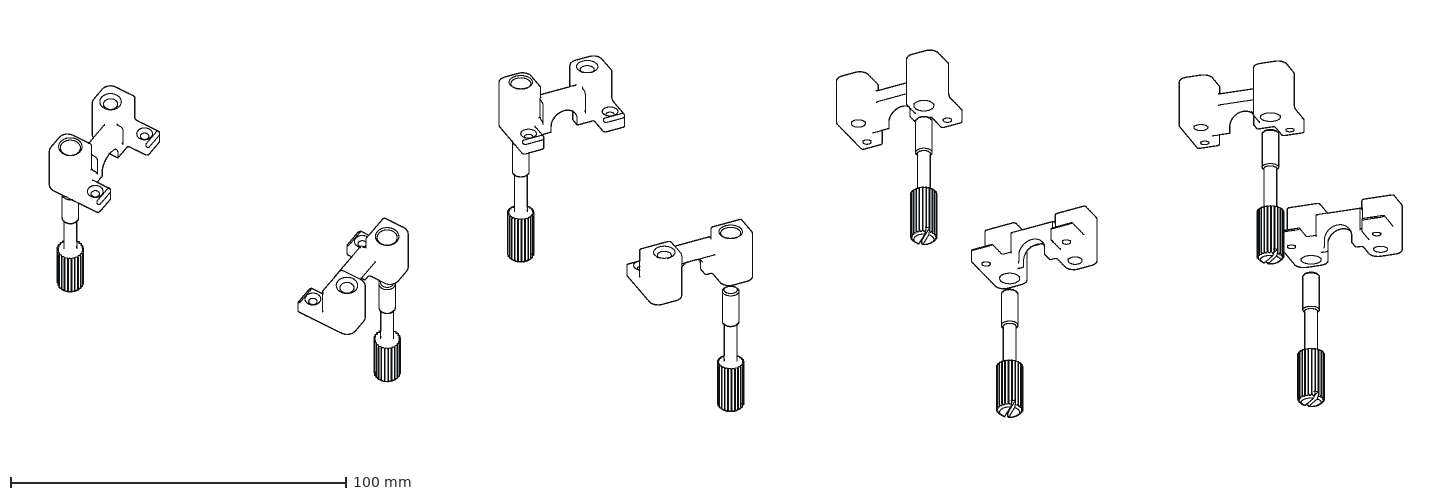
import cadquery as cq
overall_length = 108.5
screw_gap = 5.0
holder_turns = (0, 180)

holder_width = 34.0
holder_length = 19.0
tower_length = 10.1
tower_width = 10.5
tower_height = 16.0
low_tower_drop = 0.9
tower_outer_radius = 3.0
tower_inner_radius = 1.0
top_edge_radius = 0.6
bottom_edge_radius = 0.4
tower_inner_y = holder_width / 2 - tower_width

foot_width = 7.2
foot_height = 4.6
foot_end_chamfer = 1.0
foot_edge_radius = 0.7
step_corner_radius = 0.4
foot_corner_radius = 0.9
foot_root_radius = 0.6
step_length = 12.0

bridge_outer_x = 6.0
bridge_top = 11.5
bridge_chamfer = 1.5
bridge_inner_radius = 1.0
bridge_overlap = 0.5
beam_bottom = 8.3
web_outer_x = 8.5
beam_edge_radius = 0.3
bridge_blend_radius = 0.5
arch_radius = 4.3
arch_top = 6.7
arch_edge_radius = 0.5

tower_hole_inset_x = 5.0
tower_hole_inset_y = 6.0
screw_bore_diameter = 6.0
screw_bore_mouth = 7.0
plain_hole_diameter = 4.2
plain_hole_mouth = 6.4
foot_hole_inset = 3.5
foot_hole_diameter = 2.5
foot_hole_mouth = 4.7

thread_diameter = 5.0
thread_length = 12.0
thread_chamfer = 0.5
shank_diameter = 3.9
shank_length = 14.0
shank_root_radius = 0.3
head_diameter = 8.0
head_length = 16.0
head_top_chamfer = 0.2
head_end_chamfer = 1.0
knurl_count = 24
knurl_groove_radius = 0.4
slot_width = 1.2
slot_depth = 2.0
slot_angle = 45.0

reach = 0.05


def box(x_min, x_max, y_min, y_max, z_min, z_max):
    """Axis-aligned block given by its limits."""
    return (
        cq.Workplane("XY")
        .box(x_max - x_min, y_max - y_min, z_max - z_min, centered=False)
        .translate((x_min, y_min, z_min))
    )


def edges_near(body, direction, lower, upper):
    """Edges along one axis whose middle lies inside a box."""
    return body.edges(direction).edges(cq.selectors.BoxSelector(lower, upper))


def upright_edge(body, x, y):
    """Vertical edges standing at a point in plan."""
    lower = (x - reach, y - reach, 0)
    upper = (x + reach, y + reach, tower_height)
    return edges_near(body, "|Z", lower, upper)


def make_corner_cutter(height):
    """Cutter that rounds the upright tower corner above the foot, next to the bridge."""
    round_x = tower_length - tower_inner_radius
    round_y = tower_inner_y + tower_inner_radius
    bottom = foot_height + foot_root_radius
    corner = box(round_x, tower_length, tower_inner_y, round_y, bottom, height)
    rounding = cq.Workplane("XY").center(round_x, round_y).circle(tower_inner_radius).extrude(height)
    return corner.cut(rounding)


def make_end(height):
    """Tower with its foot, at the +Y end of the holder."""
    outer_y = holder_width / 2
    foot_inner_y = outer_y - foot_width
    profile = (
        cq.Workplane("XZ", origin=(0, outer_y, 0))
        .moveTo(0, 0)
        .lineTo(holder_length, 0)
        .lineTo(holder_length, foot_height)
        .lineTo(tower_length + foot_root_radius, foot_height)
        .radiusArc((tower_length, foot_height + foot_root_radius), foot_root_radius)
        .lineTo(tower_length, height)
        .lineTo(0, height)
        .close()
    )
    end = profile.extrude(tower_width)
    recess = box(step_length, holder_length, tower_inner_y, foot_inner_y, 0, height)
    end = end.cut(recess)

    for y in (tower_inner_y, outer_y):
        end = upright_edge(end, 0, y).fillet(tower_outer_radius)
    for y in (foot_inner_y, outer_y):
        end = upright_edge(end, holder_length, y).fillet(foot_corner_radius)
    end = upright_edge(end, step_length, foot_inner_y).fillet(step_corner_radius)
    end = end.cut(make_corner_cutter(height))

    tower_edge = upright_edge(end, tower_length, outer_y)
    end = tower_edge.fillet(foot_edge_radius)
    end = end.faces(">Z").edges().fillet(top_edge_radius)
    end_chamfer = (
        cq.Workplane("XZ", origin=(0, outer_y, 0))
        .moveTo(holder_length, foot_height)
        .lineTo(holder_length - foot_end_chamfer, foot_height)
        .lineTo(holder_length, foot_height - foot_end_chamfer)
        .close()
        .extrude(foot_width)
    )
    return end.cut(end_chamfer)


def make_bridge():
    """Solid beam between the towers, standing on a thinner web."""
    half_length = tower_inner_y + bridge_overlap
    outline = (
        cq.Workplane("XZ", origin=(0, half_length, 0))
        .moveTo(web_outer_x, 0)
        .lineTo(step_length, 0)
        .lineTo(step_length, bridge_top - bridge_inner_radius)
        .radiusArc((step_length - bridge_inner_radius, bridge_top), -bridge_inner_radius)
        .lineTo(bridge_outer_x + bridge_chamfer, bridge_top)
        .lineTo(bridge_outer_x, bridge_top - bridge_chamfer)
        .lineTo(bridge_outer_x, beam_bottom)
        .lineTo(web_outer_x, beam_bottom)
        .close()
    )
    bridge = outline.extrude(2 * half_length)
    outer_corners = [
        (bridge_outer_x + bridge_chamfer, bridge_top),
        (bridge_outer_x, bridge_top - bridge_chamfer),
        (bridge_outer_x, beam_bottom),
    ]
    for x, z in outer_corners:
        lower = (x - reach, -reach, z - reach)
        upper = (x + reach, reach, z + reach)
        bridge = edges_near(bridge, "|Y", lower, upper).fillet(beam_edge_radius)
    return bridge


def cut_arch(holder):
    """Arched opening through the web, with rounded feet and a rounded outer rim."""
    spring_z = arch_top - arch_radius
    opening = (
        cq.Workplane("YZ", origin=(web_outer_x, 0, 0))
        .moveTo(-arch_radius, 0)
        .lineTo(-arch_radius, spring_z)
        .threePointArc((0, arch_top), (arch_radius, spring_z))
        .lineTo(arch_radius, 0)
        .close()
        .extrude(step_length - web_outer_x)
    )
    holder = holder.cut(opening)
    lower = (web_outer_x - reach, -arch_radius - reach, reach)
    upper = (web_outer_x + reach, arch_radius + reach, arch_top + reach)
    holder = holder.edges(cq.selectors.BoxSelector(lower, upper)).fillet(arch_edge_radius)
    lower = (web_outer_x, -arch_radius - reach, -reach)
    upper = (step_length, arch_radius + reach, reach)
    return edges_near(holder, "|X", lower, upper).fillet(bottom_edge_radius)


def hole_cutter(x, y, top, diameter, mouth):
    """Through hole with a 90 degree countersink in its upper face."""
    radius = diameter / 2
    mouth_radius = mouth / 2
    return (
        cq.Workplane("XZ", origin=(x, y, 0))
        .moveTo(0, 0)
        .lineTo(radius, 0)
        .lineTo(radius, top - (mouth_radius - radius))
        .lineTo(mouth_radius, top)
        .lineTo(0, top)
        .close()
        .revolve(360, (0, 0, 0), (0, 1, 0))
    )


def make_holder():
    """Holder with the screw tower at -Y and the lower plain-hole tower at +Y."""
    low_height = tower_height - low_tower_drop
    screw_end = make_end(tower_height).mirror("XZ")
    holder = screw_end.union(make_end(low_height)).union(make_bridge())
    for side in (-1, 1):
        y = side * tower_inner_y
        lower = (bridge_outer_x - reach, y - reach, reach)
        upper = (tower_length - tower_inner_radius, y + reach, bridge_top + reach)
        blend_edges = holder.edges(cq.selectors.BoxSelector(lower, upper))
        holder = blend_edges.fillet(bridge_blend_radius)
    holder = cut_arch(holder)

    tower_hole_y = holder_width / 2 - tower_hole_inset_y
    foot_hole_x = holder_length - foot_hole_inset
    foot_hole_y = holder_width / 2 - foot_hole_inset
    screw_bore = hole_cutter(
        tower_hole_inset_x, -tower_hole_y, tower_height, screw_bore_diameter, screw_bore_mouth
    )
    plain_hole = hole_cutter(
        tower_hole_inset_x, tower_hole_y, low_height, plain_hole_diameter, plain_hole_mouth
    )
    holder = holder.cut(screw_bore).cut(plain_hole)
    for y in (-foot_hole_y, foot_hole_y):
        holder = holder.cut(hole_cutter(foot_hole_x, y, foot_height, foot_hole_diameter, foot_hole_mouth))
    return holder


def make_screw():
    """Knurled captive screw standing on its head, its slotted end at z = 0."""
    shank_start = head_length
    thread_start = shank_start + shank_length
    tip = thread_start + thread_length
    head_radius = head_diameter / 2
    shank_radius = shank_diameter / 2
    thread_radius = thread_diameter / 2
    screw = (
        cq.Workplane("XZ")
        .moveTo(0, 0)
        .lineTo(head_radius - head_end_chamfer, 0)
        .lineTo(head_radius, head_end_chamfer)
        .lineTo(head_radius, head_length - head_top_chamfer)
        .lineTo(head_radius - head_top_chamfer, head_length)
        .lineTo(shank_radius + shank_root_radius, head_length)
        .radiusArc((shank_radius, head_length + shank_root_radius), shank_root_radius)
        .lineTo(shank_radius, thread_start)
        .lineTo(thread_radius - thread_chamfer, thread_start)
        .lineTo(thread_radius, thread_start + thread_chamfer)
        .lineTo(thread_radius, tip - thread_chamfer)
        .lineTo(thread_radius - thread_chamfer, tip)
        .lineTo(0, tip)
        .close()
        .revolve(360, (0, 0, 0), (0, 1, 0))
    )
    grooves = (
        cq.Workplane("XY")
        .polarArray(head_radius, 0, 360, knurl_count)
        .circle(knurl_groove_radius)
        .extrude(head_length)
    )
    slot = (
        cq.Workplane("XY")
        .box(head_diameter, slot_width, slot_depth, centered=(True, True, False))
        .rotate((0, 0, 0), (0, 0, 1), slot_angle)
    )
    return screw.cut(grooves).cut(slot)


screw_length = head_length + shank_length + thread_length
outer_face_x = -overall_length / 2
screw_x = outer_face_x + tower_hole_inset_x
screw_y = tower_hole_inset_y - holder_width / 2
screw_z = -screw_gap - screw_length
bodies = []
for turn in holder_turns:
    holder = make_holder().translate((outer_face_x, 0, 0)).rotate((0, 0, 0), (0, 0, 1), turn)
    screw = make_screw().translate((screw_x, screw_y, screw_z)).rotate((0, 0, 0), (0, 0, 1), turn)
    bodies += [holder.val(), screw.val()]

result = cq.Compound.makeCompound(bodies)